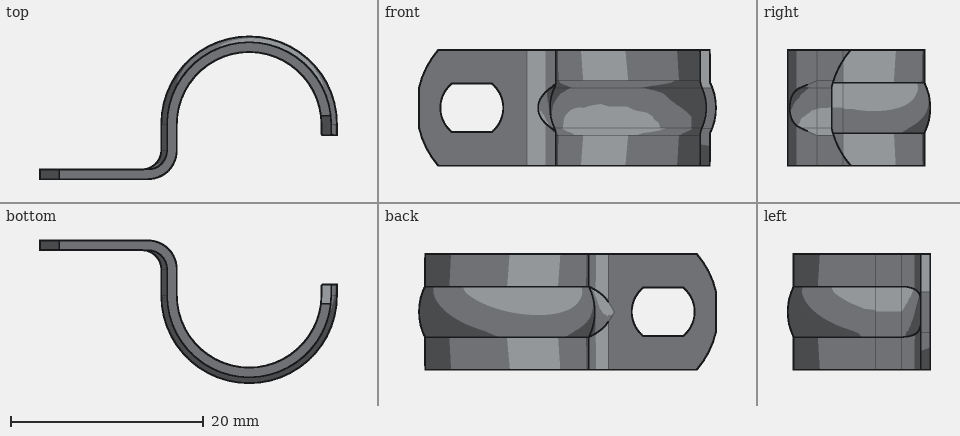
import cadquery as cq
import math

thickness = 1.02
width = 12.0
half_width = width / 2

overall_length = 30.8
hoop_inner_radius = 7.48
hoop_outer_radius = hoop_inner_radius + thickness
bend_inner_radius = 2.0
bend_outer_radius = bend_inner_radius + thickness
bead_height = 0.62
hoop_x = overall_length - hoop_outer_radius - bead_height
hoop_y = 5.7
far_end_y = 4.55
wall_inner_x = hoop_x - hoop_inner_radius
wall_outer_x = hoop_x - hoop_outer_radius
bend_x = wall_inner_x - bend_outer_radius
bend_y = bend_outer_radius

end_flat_half_width = 2.1
end_corner_setback = 2.0

hole_x = 5.48
hole_diameter = 6.5
hole_height = 5.0

bead_half_width = 2.62
groove_half_width = 2.83
groove_arc_radius = 5.0
groove_runout_radius = 3.75
bead_root = 0.3
groove_clearance = 0.3


def make_strip():
    """Foot, bend, wall and hoop as one band of constant thickness."""
    diagonal = math.sqrt(0.5)
    return (
        cq.Workplane("XY")
        .workplane(offset=-half_width)
        .moveTo(0, 0)
        .lineTo(bend_x, 0)
        .threePointArc(
            (bend_x + bend_outer_radius * diagonal, bend_y - bend_outer_radius * diagonal),
            (wall_inner_x, bend_y),
        )
        .lineTo(wall_inner_x, hoop_y)
        .threePointArc((hoop_x, hoop_y + hoop_inner_radius), (hoop_x + hoop_inner_radius, hoop_y))
        .lineTo(hoop_x + hoop_inner_radius, far_end_y)
        .lineTo(hoop_x + hoop_outer_radius, far_end_y)
        .lineTo(hoop_x + hoop_outer_radius, hoop_y)
        .threePointArc((hoop_x, hoop_y + hoop_outer_radius), (wall_outer_x, hoop_y))
        .lineTo(wall_outer_x, bend_y)
        .threePointArc(
            (bend_x + bend_inner_radius * diagonal, bend_y - bend_inner_radius * diagonal),
            (bend_x, thickness),
        )
        .lineTo(0, thickness)
        .close()
        .extrude(width)
    )


def bead_section(plane_y):
    """Outer arc of the bead on the wall, in an XZ section at the given y."""
    root_x = wall_outer_x + bead_root
    return (
        cq.Workplane("XZ", origin=(0, plane_y, 0))
        .moveTo(root_x, -bead_half_width)
        .lineTo(wall_outer_x, -bead_half_width)
        .threePointArc((wall_outer_x - bead_height, 0), (wall_outer_x, bead_half_width))
        .lineTo(root_x, bead_half_width)
        .close()
    )


def groove_section(plane_y):
    """Hollow of the bead: a main arc blended into the wall by two tangent arcs."""
    arc_x = wall_inner_x - bead_height + groove_arc_radius
    blend_radius = (groove_half_width**2 + bead_height**2) / (2 * bead_height) - groove_arc_radius
    blend_x = wall_inner_x - blend_radius
    blend_angle = math.asin(groove_half_width / (groove_arc_radius + blend_radius))
    tangent_x = arc_x - groove_arc_radius * math.cos(blend_angle)
    tangent_z = groove_arc_radius * math.sin(blend_angle)
    mid_x = blend_x + blend_radius * math.cos(blend_angle / 2)
    mid_z = groove_half_width - blend_radius * math.sin(blend_angle / 2)
    open_x = wall_inner_x + groove_clearance
    return (
        cq.Workplane("XZ", origin=(0, plane_y, 0))
        .moveTo(open_x, -groove_half_width)
        .lineTo(wall_inner_x, -groove_half_width)
        .threePointArc((mid_x, -mid_z), (tangent_x, -tangent_z))
        .threePointArc((wall_inner_x - bead_height, 0), (tangent_x, tangent_z))
        .threePointArc((mid_x, mid_z), (wall_inner_x, groove_half_width))
        .lineTo(open_x, groove_half_width)
        .close()
    )


def follow_strip(section, runout_x):
    """Carry a section round the hoop, down both legs and round the bend about runout_x."""
    hoop = section(hoop_y).revolve(180, (hoop_x, 0, 0), (hoop_x, -1, 0))
    wall = section(hoop_y).extrude(hoop_y - bend_y)
    far_leg = section(hoop_y).extrude(hoop_y - far_end_y).mirror("YZ", (hoop_x, 0, 0))
    runout = section(bend_y).revolve(90, (runout_x, 0, 0), (runout_x, -1, 0))
    return hoop.union(wall).union(far_leg).union(runout)


def rounded_end(sketch_plane, tip, depth):
    """Outline kept at a strip end: flat tip, an arc to each edge, then straight for depth."""
    arc_centre = (
        end_corner_setback**2 + half_width**2 - end_flat_half_width**2
    ) / (2 * end_corner_setback)
    arc_radius = math.hypot(arc_centre, end_flat_half_width)
    mid_angle = (
        math.atan2(end_flat_half_width, arc_centre)
        + math.atan2(half_width, arc_centre - end_corner_setback)
    ) / 2
    mid = tip + arc_centre - arc_radius * math.cos(mid_angle)
    mid_z = arc_radius * math.sin(mid_angle)
    corner = tip + end_corner_setback
    return (
        sketch_plane.moveTo(tip, -end_flat_half_width)
        .lineTo(tip, end_flat_half_width)
        .threePointArc((mid, mid_z), (corner, half_width))
        .lineTo(tip + depth, half_width)
        .lineTo(tip + depth, -half_width)
        .lineTo(corner, -half_width)
        .threePointArc((mid, -mid_z), (tip, -end_flat_half_width))
        .close()
    )


strip = make_strip()

bead = follow_strip(bead_section, wall_outer_x - bead_height - bend_inner_radius)
groove = follow_strip(groove_section, wall_inner_x - bead_height - groove_runout_radius)
clip = strip.union(bead).cut(groove)

foot_keep = rounded_end(cq.Workplane("XZ"), 0, hoop_x).extrude(-overall_length)
far_plane = cq.Workplane("YZ", origin=(hoop_x, 0, 0))
far_keep = rounded_end(far_plane, far_end_y, overall_length).extrude(overall_length)
clip = clip.intersect(foot_keep.union(far_keep))

hole_plane = cq.Workplane("XZ", origin=(hole_x, 0, 0))
hole_round = hole_plane.circle(hole_diameter / 2).extrude(-thickness)
hole_flats = hole_plane.rect(hole_diameter, hole_height).extrude(-thickness)
hole = hole_round.intersect(hole_flats)
result = clip.cut(hole)